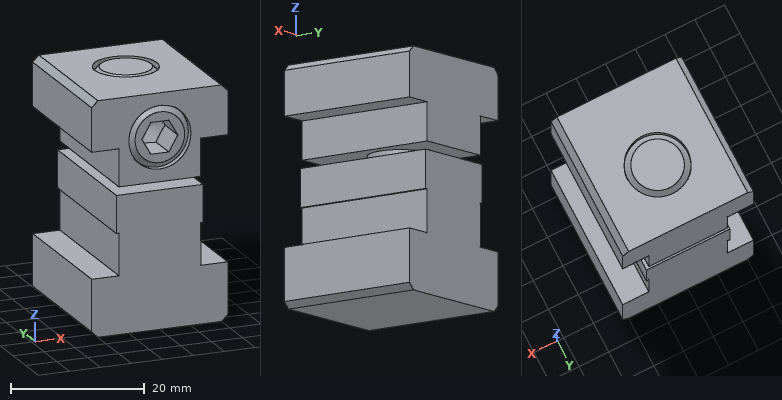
import cadquery as cq
import math

width = 22.0
depth = 23.5
height = 37.3
edge_chamfer = 1.0

head_height = 14.0
head_flange = 8.0
neck_width = 13.2

gap = 1.3
base_height = height - head_height - gap
base_flange = 9.3
shoulder_width = 14.0
shoulder_height = 6.0

pin_diameter = 10.0
pin_from_back = 10.0
screw_diameter = 10.0
screw_from_top = 7.0
end_chamfer = 1.0

socket_across_flats = 5.0
socket_depth = 5.0
socket_tip_angle = 120.0

head_bottom = height - head_height
front_face = -depth / 2
back_face = depth / 2
pin_y = back_face - pin_from_back
screw_z = height - screw_from_top


def centred_block(block_width, bottom, top):
    """Full-depth block, symmetric about the YZ plane, between two heights."""
    block = cq.Workplane("XY").workplane(offset=bottom)
    return block.rect(block_width, depth).extrude(top - bottom)


def make_head():
    flange = centred_block(width, height - head_flange, height)
    flange = flange.faces(">Z").edges("|Y").chamfer(edge_chamfer)
    return flange.union(centred_block(neck_width, head_bottom, height - head_flange))


def make_base():
    flange = centred_block(width, 0, base_flange)
    flange = flange.faces("<Z").edges("|Y").chamfer(edge_chamfer)
    shoulder_bottom = base_height - shoulder_height
    web = centred_block(neck_width, base_flange, shoulder_bottom)
    shoulder = centred_block(shoulder_width, shoulder_bottom, base_height)
    return flange.union(web).union(shoulder)


def end_groove(diameter):
    """Ring left between a bore and the chamfered end of the rod filling it.

    The rod end lies at Z = 0 and the rod runs towards -Z.
    """
    outer_radius = diameter / 2
    inner_radius = outer_radius - end_chamfer
    section = cq.Workplane("XZ").moveTo(inner_radius, 0).lineTo(outer_radius, 0)
    section = section.lineTo(outer_radius, -end_chamfer).close()
    return section.revolve(360, (0, 0), (0, 1))


def hex_socket():
    """Hexagonal recess opening at Z = 0 with a conical bottom, running towards -Z."""
    across_corners = socket_across_flats / math.cos(math.pi / 6)
    corner_radius = across_corners / 2
    tip_depth = socket_depth + corner_radius / math.tan(math.radians(socket_tip_angle / 2))
    prism = cq.Workplane("XY").polygon(6, across_corners).extrude(-tip_depth)
    drill = cq.Workplane("XZ").lineTo(corner_radius, 0).lineTo(corner_radius, -socket_depth)
    drill = drill.lineTo(0, -tip_depth).close().revolve(360, (0, 0), (0, 1))
    return prism.intersect(drill)


def at_screw_end(cutter):
    """Turn a cutter from the Z = 0 plane onto the front face, on the screw axis."""
    return cutter.rotate((0, 0, 0), (1, 0, 0), 90).translate((0, front_face, screw_z))


def make_pin():
    pin = cq.Workplane("XY").workplane(offset=base_height).center(0, pin_y)
    return pin.circle(pin_diameter / 2).extrude(gap)


result = make_base().union(make_pin()).union(make_head())
result = result.cut(end_groove(pin_diameter).translate((0, pin_y, height)))
result = result.cut(at_screw_end(end_groove(screw_diameter)))
result = result.cut(at_screw_end(hex_socket()))